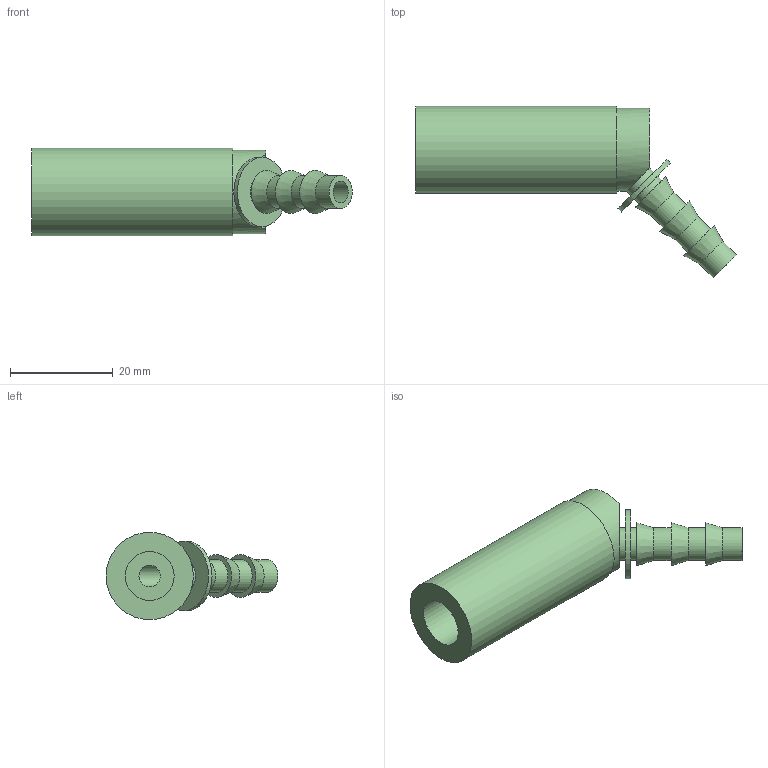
import cadquery as cq
import math

body_diameter = 17.0
body_length = 39.2
neck_diameter = 16.2
neck_length = 6.4
body_end = body_length + neck_length
socket_diameter = 9.5
socket_depth = 30.0
passage_diameter = 4.2

spout_angle = 45.0
elbow_x = 37.5
spout_reach = 32.11
spout_length = 23.9
tube_diameter = 6.4
flange_diameter = 13.5
flange_thickness = 1.0
flange_offset = 1.2
barb_diameter = 8.4
barb_length = 3.3
barb_pitch = 6.7
barb_count = 3
first_barb_offset = 3.4
flat_distance = spout_reach - spout_length

spout_direction = cq.Vector(
    math.cos(math.radians(spout_angle)),
    -math.sin(math.radians(spout_angle)),
    0,
)
elbow_point = cq.Vector(elbow_x, 0, 0)


def spout_plane(distance):
    """Plane square to the spout axis, at a distance from the elbow."""
    return cq.Plane(
        origin=elbow_point + spout_direction * distance,
        xDir=cq.Vector(0, 0, 1),
        normal=spout_direction,
    )


def cylinder_along_x(diameter, start, end):
    return cq.Workplane("YZ", origin=(start, 0, 0)).circle(diameter / 2).extrude(end - start)


def cylinder_along_spout(diameter, start, end):
    return cq.Workplane(spout_plane(start)).circle(diameter / 2).extrude(end - start)


def make_body():
    """Stepped cylinder whose neck is cut off square to the spout."""
    body = cylinder_along_x(body_diameter, 0, body_length)
    neck = cylinder_along_x(neck_diameter, body_length, body_end)
    beyond_flat = cylinder_along_spout(2 * body_end, flat_distance, flat_distance + body_end)
    return body.union(neck.cut(beyond_flat))


def make_barb(start):
    """Cone with its wide, sharp edge facing the body."""
    return (
        cq.Workplane(spout_plane(start))
        .circle(barb_diameter / 2)
        .workplane(offset=barb_length)
        .circle(tube_diameter / 2)
        .loft(ruled=True)
    )


def make_spout():
    flange_start = flat_distance + flange_offset
    spout = cylinder_along_spout(tube_diameter, flat_distance, spout_reach)
    flange = cylinder_along_spout(flange_diameter, flange_start, flange_start + flange_thickness)
    spout = spout.union(flange)
    for index in range(barb_count):
        barb_start = flat_distance + first_barb_offset + index * barb_pitch
        spout = spout.union(make_barb(barb_start))
    return spout


def make_bores():
    """Socket, then a narrow passage with a mitred turn at the elbow into the spout."""
    socket = cylinder_along_x(socket_diameter, 0, socket_depth)
    spout_tip = elbow_point + spout_direction * spout_reach
    passage_path = cq.Workplane("XY").polyline([(0, 0), (elbow_x, 0), (spout_tip.x, spout_tip.y)])
    passage = cq.Workplane("YZ").circle(passage_diameter / 2).sweep(passage_path, transition="right")
    return socket.union(passage)


result = make_body().union(make_spout()).cut(make_bores())